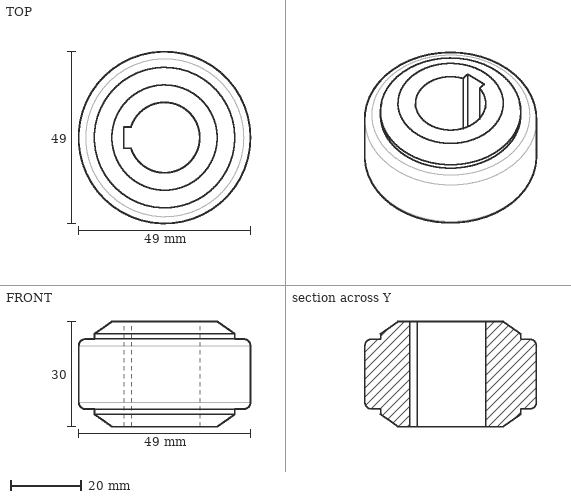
import cadquery as cq

rim_diameter = 49.0
rim_width = 20.0
rim_fillet = 2.0

hub_diameter = 40.0
hub_width = 30.0
hub_face_diameter = 30.0
hub_taper_height = 3.5

bore_diameter = 20.0
keyway_width = 6.0
keyway_reach = 11.6


def centred_cylinder(diameter, width):
    """Cylinder along Z, centred on the origin."""
    return cq.Workplane("XY").cylinder(width, diameter / 2)


def make_rim():
    """Outer ring with both outer edges rounded."""
    return centred_cylinder(rim_diameter, rim_width).edges("%CIRCLE").fillet(rim_fillet)


def make_hub():
    """Inner hub, tapered at both ends down to the flat end faces."""
    hub_radius = hub_diameter / 2
    face_radius = hub_face_diameter / 2
    half_width = hub_width / 2
    shoulder_z = half_width - hub_taper_height
    half_profile = [
        (0, -half_width),
        (face_radius, -half_width),
        (hub_radius, -shoulder_z),
        (hub_radius, shoulder_z),
        (face_radius, half_width),
        (0, half_width),
    ]
    return cq.Workplane("XZ").polyline(half_profile).close().revolve(360, (0, 0), (0, 1))


def make_keyed_bore():
    """Through bore with one keyway on the -X side."""
    keyway = (
        cq.Workplane("XY")
        .box(keyway_reach, keyway_width, hub_width)
        .translate((-keyway_reach / 2, 0, 0))
    )
    return centred_cylinder(bore_diameter, hub_width).union(keyway)


result = make_rim().union(make_hub()).cut(make_keyed_bore())